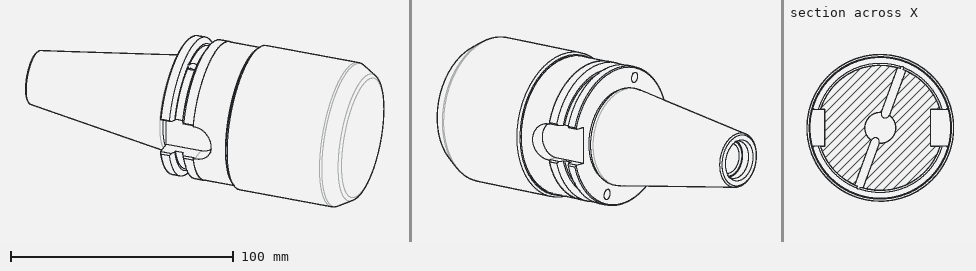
import cadquery as cq
import math


GAUGE_RADIUS = 44.45 / 2
TAPER_LENGTH = 68.25
TAPER_SLOPE = 7 / 48
SMALL_END_CHAMFER = 0.7
GAUGE_BAND_LENGTH = 1.5
NECK_RADIUS = 21.5

FLANGE_FACE_X = 3.18
FLANGE_END_X = 19.05
FLANGE_RADIUS = 63.5 / 2
FLANGE_CHAMFER = 0.5
BODY_RADIUS = 63.2 / 2
BODY_END_X = 35.3
BODY_CHAMFER = 0.4

GROOVE_CENTRE_X = 11.1
GROOVE_MOUTH_WIDTH = 6.9
GROOVE_ROOT_WIDTH = 3.75
GROOVE_ROOT_RADIUS = 56.3 / 2
GROOVE_FLANK_ANGLE = 60

NUT_RADIUS = 33.0
NUT_REAR_CHAMFER = 1.0
NUT_FRONT_X = 88.9
NUT_NOSE_LENGTH = 7.9
NUT_NOSE_ANGLE = 30
NUT_FILLET_RADIUS = 2.0

MOUTH_RADIUS = 9.3
MOUTH_CHAMFER_LENGTH = 2.0
PILOT_RADIUS = 8.5
PILOT_DEPTH = 5.6
BORE_RADIUS = 6.9
SHOULDER_CHAMFER_WIDTH = 1.1
SHOULDER_CHAMFER_LENGTH = 0.64
BORE_END_X = 11.8
DRILL_POINT_ANGLE = 118

SLOT_WIDTH = 16.5
SLOT_END_X = 28.1
SLOT_FLOOR_PLUS_Y = 25.0
SLOT_FLOOR_MINUS_Y = 22.6
SLOT_CHAMFER = 0.8

COOLANT_DIAMETER = 4.0
COOLANT_CIRCLE_RADIUS = 27.0
COOLANT_TILT = 30
COOLANT_ANGLES = (20, 200)


def make_revolved_body():
    small_end_x = -TAPER_LENGTH
    small_end_radius = GAUGE_RADIUS - TAPER_LENGTH * TAPER_SLOPE
    chamfer_end_radius = small_end_radius + SMALL_END_CHAMFER * TAPER_SLOPE
    nose_x = NUT_FRONT_X - NUT_NOSE_LENGTH
    front_radius = NUT_RADIUS - NUT_NOSE_LENGTH * math.tan(math.radians(NUT_NOSE_ANGLE))
    profile = [
        (small_end_x, 0),
        (small_end_x, small_end_radius - SMALL_END_CHAMFER),
        (small_end_x + SMALL_END_CHAMFER, chamfer_end_radius),
        (0, GAUGE_RADIUS),
        (GAUGE_BAND_LENGTH, GAUGE_RADIUS),
        (FLANGE_FACE_X, NECK_RADIUS),
        (FLANGE_FACE_X, FLANGE_RADIUS - FLANGE_CHAMFER),
        (FLANGE_FACE_X + FLANGE_CHAMFER, FLANGE_RADIUS),
        (FLANGE_END_X, FLANGE_RADIUS),
        (FLANGE_END_X, BODY_RADIUS),
        (BODY_END_X - BODY_CHAMFER, BODY_RADIUS),
        (BODY_END_X, BODY_RADIUS - BODY_CHAMFER),
        (BODY_END_X, NUT_RADIUS - NUT_REAR_CHAMFER),
        (BODY_END_X + NUT_REAR_CHAMFER, NUT_RADIUS),
        (nose_x, NUT_RADIUS),
        (NUT_FRONT_X, front_radius),
        (NUT_FRONT_X, 0),
    ]
    body = revolve_about_x(profile)
    nose_cone = body.faces("%CONE").faces(">X")
    return nose_cone.edges("%CIRCLE").fillet(NUT_FILLET_RADIUS)


def revolve_about_x(profile):
    return cq.Workplane("XY").polyline(profile).close().revolve(360, (0, 0, 0), (1, 0, 0))


def make_groove():
    mouth_half = GROOVE_MOUTH_WIDTH / 2
    root_half = GROOVE_ROOT_WIDTH / 2
    flank_drop = (mouth_half - root_half) * math.tan(math.radians(GROOVE_FLANK_ANGLE))
    flank_end_radius = FLANGE_RADIUS - flank_drop
    profile = [
        (GROOVE_CENTRE_X - root_half, GROOVE_ROOT_RADIUS),
        (GROOVE_CENTRE_X - root_half, flank_end_radius),
        (GROOVE_CENTRE_X - mouth_half, FLANGE_RADIUS),
        (GROOVE_CENTRE_X - mouth_half, NUT_RADIUS),
        (GROOVE_CENTRE_X + mouth_half, NUT_RADIUS),
        (GROOVE_CENTRE_X + mouth_half, FLANGE_RADIUS),
        (GROOVE_CENTRE_X + root_half, flank_end_radius),
        (GROOVE_CENTRE_X + root_half, GROOVE_ROOT_RADIUS),
    ]
    return revolve_about_x(profile)


def make_bore():
    mouth_x = -TAPER_LENGTH
    shoulder_x = mouth_x + PILOT_DEPTH
    point_length = BORE_RADIUS / math.tan(math.radians(DRILL_POINT_ANGLE / 2))
    profile = [
        (mouth_x, 0),
        (mouth_x, MOUTH_RADIUS),
        (mouth_x + MOUTH_CHAMFER_LENGTH, PILOT_RADIUS),
        (shoulder_x, PILOT_RADIUS),
        (shoulder_x, BORE_RADIUS + SHOULDER_CHAMFER_WIDTH),
        (shoulder_x + SHOULDER_CHAMFER_LENGTH, BORE_RADIUS),
        (BORE_END_X, BORE_RADIUS),
        (BORE_END_X + point_length, 0),
    ]
    return revolve_about_x(profile)


def make_drive_slot(side, floor):
    """Round-ended slot on the side (+1 or -1) of Y, open through the flange face."""
    half = SLOT_WIDTH / 2
    arc_centre_x = SLOT_END_X - half
    depth = NUT_RADIUS - floor
    slot = (
        cq.Workplane("XZ", origin=(0, side * floor, 0))
        .moveTo(FLANGE_FACE_X, -half)
        .lineTo(arc_centre_x, -half)
        .threePointArc((SLOT_END_X, 0), (arc_centre_x, half))
        .lineTo(FLANGE_FACE_X, half)
        .close()
        .extrude(-side * depth)
    )
    rim_y = math.sqrt(FLANGE_RADIUS**2 - (half + SLOT_CHAMFER) ** 2)
    wedge_bottom_y = rim_y - SLOT_CHAMFER
    wedge_top_y = NUT_RADIUS
    top_half = half + wedge_top_y - wedge_bottom_y
    wedge = (
        cq.Workplane("YZ", origin=(FLANGE_FACE_X, 0, 0))
        .polyline([
            (side * wedge_bottom_y, -half),
            (side * wedge_top_y, -top_half),
            (side * wedge_top_y, top_half),
            (side * wedge_bottom_y, half),
        ])
        .close()
        .extrude(FLANGE_END_X - FLANGE_FACE_X)
    )
    return slot.union(wedge)


def make_coolant_passage(angle):
    """Radial hole from the groove to the bore, fed by an inclined hole from the flange face."""
    radius = COOLANT_DIAMETER / 2
    tilt = math.radians(COOLANT_TILT)
    radial = cq.Solid.makeCylinder(
        radius, FLANGE_RADIUS, cq.Vector(GROOVE_CENTRE_X, 0, 0), cq.Vector(0, 0, 1)
    )
    direction = cq.Vector(math.cos(tilt), 0, -math.sin(tilt))
    face_point = cq.Vector(FLANGE_FACE_X, 0, COOLANT_CIRCLE_RADIUS)
    overrun = COOLANT_DIAMETER
    run = (GROOVE_CENTRE_X - FLANGE_FACE_X) / math.cos(tilt)
    inclined = cq.Solid.makeCylinder(radius, run + overrun, face_point - direction * overrun, direction)
    passage = cq.Workplane(radial).union(cq.Workplane(inclined))
    return passage.rotate((0, 0, 0), (1, 0, 0), angle)


result = make_revolved_body().cut(make_groove())
result = result.cut(make_drive_slot(1, SLOT_FLOOR_PLUS_Y))
result = result.cut(make_drive_slot(-1, SLOT_FLOOR_MINUS_Y))
result = result.cut(make_bore())
for coolant_angle in COOLANT_ANGLES:
    result = result.cut(make_coolant_passage(coolant_angle))